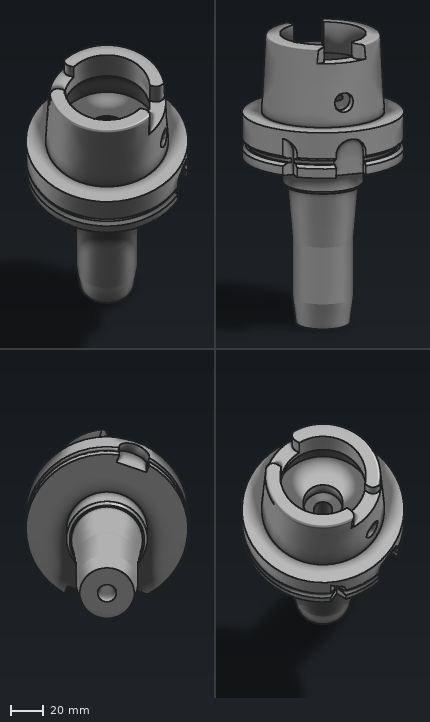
import cadquery as cq
import math

total_height = 185.0
shank_height = 50.0
flange_height = 29.0
flange_top = total_height - shank_height
flange_bottom = flange_top - flange_height
neck_bottom = 88.5
nose_cylinder_top = 53.0
nose_cylinder_bottom = 16.6

flange_diameter = 100.0
flange_radius = flange_diameter / 2
groove_radius = 46.0
shank_base_radius = 38.0
shank_top_radius = 35.5
neck_radius = 25.0
nose_cone_radius = 22.0
nose_radius = 19.0
nose_tip_radius = 16.8

shank_round = 1.8
neck_chamfer = 1.8
groove_chamfer = 1.8
groove_chamfer_depth = 1.7
groove_top = flange_top - 16.6
groove_bottom = flange_top - 23.1

socket_radius = 26.5
socket_depth = 41.0
lip_depth = 19.8
undercut_radius = 31.5
counterbore_radius = 12.2
counterbore_depth = 11.1
through_bore_radius = 5.7

cross_hole_diameter = 12.0
cross_hole_radius = cross_hole_diameter / 2
cross_hole_height = total_height - 34.8

drive_slot_half_width = 9.8
drive_slot_depth_left = 9.6
drive_slot_depth_right = 14.8
finger_half_length = 32.2
finger_corner_radius = 5.0

notch_radius = 9.8
notch_top = flange_top - 5.0
key_floor = 44.0
side_notch_floor = 32.0
side_notch_center = 41.5


def turned_body():
    """Solid of revolution with the shank, flange, neck and nose."""
    groove_shoulder = groove_radius + groove_chamfer_depth
    outline = [
        (0, 0),
        (nose_tip_radius, 0),
        (nose_radius, nose_cylinder_bottom),
        (nose_radius, nose_cylinder_top),
        (nose_cone_radius, neck_bottom),
        (neck_radius - neck_chamfer, neck_bottom),
        (neck_radius, neck_bottom + neck_chamfer),
        (neck_radius, flange_bottom),
        (flange_radius, flange_bottom),
        (flange_radius, groove_bottom),
        (groove_shoulder, groove_bottom + groove_chamfer),
        (groove_radius, groove_bottom + groove_chamfer),
        (groove_radius, groove_top - groove_chamfer),
        (groove_shoulder, groove_top - groove_chamfer),
        (flange_radius, groove_top),
        (flange_radius, flange_top),
        (shank_base_radius, flange_top),
        (shank_top_radius, total_height),
        (0, total_height),
    ]
    profile = cq.Workplane("XZ").polyline(outline).close()
    body = profile.revolve(360, (0, 0, 0), (0, 1, 0))
    return body.faces(">Z").edges().fillet(shank_round)


def axial_bore(radius, bottom, top):
    return cq.Workplane("XY").workplane(offset=bottom).circle(radius).extrude(top - bottom)


def drive_slot(side, depth):
    """Slot on one X side of the rim, flaring outward around the finger corners."""
    half_width = drive_slot_half_width
    flare_half_width = half_width + finger_corner_radius
    flare_start = finger_half_length - finger_corner_radius
    outside = flange_radius
    arc_offset = finger_corner_radius * math.sqrt(0.5)
    arc_x = flare_start + arc_offset
    arc_y = flare_half_width - arc_offset
    profile = (
        cq.Workplane("XY")
        .workplane(offset=total_height - depth)
        .moveTo(0, -half_width)
        .lineTo(side * flare_start, -half_width)
        .threePointArc((side * arc_x, -arc_y), (side * finger_half_length, -flare_half_width))
        .lineTo(side * finger_half_length, -outside)
        .lineTo(side * outside, -outside)
        .lineTo(side * outside, outside)
        .lineTo(side * finger_half_length, outside)
        .lineTo(side * finger_half_length, flare_half_width)
        .threePointArc((side * arc_x, arc_y), (side * flare_start, half_width))
        .lineTo(0, half_width)
        .close()
    )
    return profile.extrude(depth)


def flange_notch(side, center_y, floor):
    """Round-topped cutter running outward along X from a flat floor."""
    arch_height = notch_top - notch_radius
    profile = (
        cq.Workplane("YZ")
        .workplane(offset=side * floor)
        .moveTo(center_y - notch_radius, flange_bottom)
        .lineTo(center_y - notch_radius, arch_height)
        .threePointArc((center_y, notch_top), (center_y + notch_radius, arch_height))
        .lineTo(center_y + notch_radius, flange_bottom)
        .close()
    )
    return profile.extrude(side * (flange_radius - floor))


result = turned_body()

socket_floor = total_height - socket_depth
counterbore_floor = socket_floor - counterbore_depth
lip_bottom = total_height - lip_depth
result = result.cut(axial_bore(socket_radius, lip_bottom, total_height))
result = result.cut(axial_bore(undercut_radius, socket_floor, lip_bottom))
result = result.cut(axial_bore(counterbore_radius, counterbore_floor, socket_floor))
result = result.cut(axial_bore(through_bore_radius, 0, counterbore_floor))

cross_hole = (
    cq.Workplane("YZ")
    .center(0, cross_hole_height)
    .circle(cross_hole_radius)
    .extrude(shank_base_radius, both=True)
)
result = result.cut(cross_hole)

result = result.cut(drive_slot(-1, drive_slot_depth_left))
result = result.cut(drive_slot(1, drive_slot_depth_right))

for key_side in (-1, 1):
    result = result.cut(flange_notch(key_side, 0, key_floor))
result = result.cut(flange_notch(-1, side_notch_center, side_notch_floor))